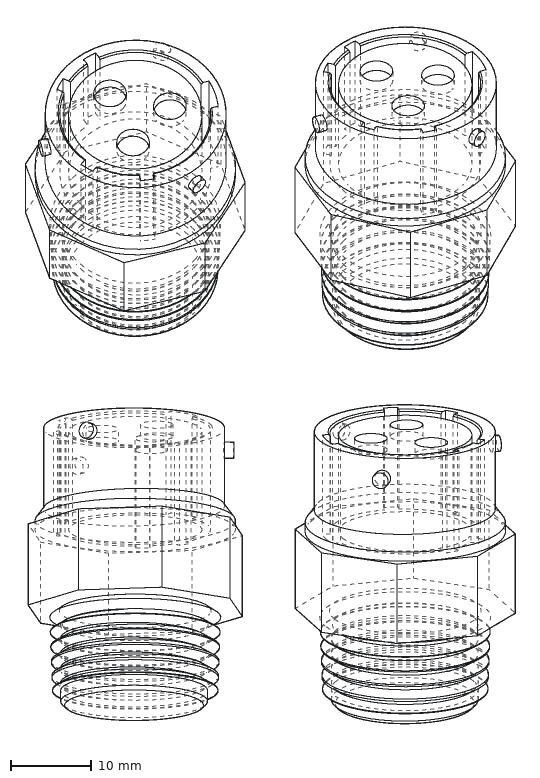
import cadquery as cq
import math

total_height = 35.4
thread_end_z = 1.87
nut_bottom_z = 12.08
nut_top_z = 22.43
collar_edge_z = 23.62
insert_recess = 0.4
insert_face_z = total_height - insert_recess

nut_across_flats = 25.4
nut_sides = 8
collar_radius = 12.48
cone_rise_per_radius = 1.36
cone_height = 3.0

shell_offset_x = 0.18
shell_radius = 11.27
disc_radius = 9.15
disc_chamfer = 0.5

ridge_count = 6
ridge_pitch = 1.9
first_crest_drop = 0.82
first_crest_radius = 10.65
crest_taper = 0.035
thread_root_radius = 9.06
thread_top_radius = 9.45

insert_radius = 8.3
bore_radius = 9.38
bore_chamfer = 0.22
groove_floor_z = nut_top_z

keyway_radius = 10.37
main_key_width = 4.0
small_key_width = 1.8
main_key_angle = 90
small_key_angles = (-8, -52.3, 196.7, 228.2)
keyways = [(main_key_angle, main_key_width)]
keyways += [(angle, small_key_width) for angle in small_key_angles]

contact_radius = 2.03
contact_depth = 1.5
contact_centres = [(0, 4.5), (-4.0, -2.08), (4.0, -1.49)]

pin_radius = 1.02
pin_tip_radius = 12.28
pin_root_radius = 10.6
pin_drop = 2.67
pin_z = total_height - pin_drop
pin_angles = (-90, 23.8, 147)


def cylinder(radius, bottom_z, top_z, centre_x=0):
    disc = cq.Workplane("XY", origin=(centre_x, 0, bottom_z)).circle(radius)
    return disc.extrude(top_z - bottom_z)


def make_nut():
    corner_diameter = nut_across_flats / math.cos(math.pi / nut_sides)
    nut = cq.Workplane("XY").workplane(offset=nut_bottom_z).polygon(nut_sides, corner_diameter)
    nut = nut.extrude(nut_top_z - nut_bottom_z)
    return nut.rotate((0, 0, 0), (0, 0, 1), 180 / nut_sides)


def make_collar():
    cone_top_radius = collar_radius - cone_height / cone_rise_per_radius
    profile = cq.Workplane("XZ").polyline([
        (0, nut_top_z),
        (collar_radius, nut_top_z),
        (collar_radius, collar_edge_z),
        (cone_top_radius, collar_edge_z + cone_height),
        (0, collar_edge_z + cone_height),
    ]).close()
    return profile.revolve(360, (0, 0, 0), (0, 1, 0))


def make_thread():
    flank_rise_per_radius = ridge_pitch / 2 / (first_crest_radius - thread_root_radius)
    points = [(0, nut_bottom_z), (thread_top_radius, nut_bottom_z)]
    for index in range(ridge_count):
        drop = index * ridge_pitch
        crest_z = nut_bottom_z - first_crest_drop - drop
        crest_radius = first_crest_radius - crest_taper * drop
        crest_half_width = (first_crest_radius - crest_radius) * flank_rise_per_radius
        points.append((crest_radius, crest_z + crest_half_width))
        if index == ridge_count - 1:
            points.append((crest_radius, thread_end_z))
        else:
            if index > 0:
                points.append((crest_radius, crest_z - crest_half_width))
            points.append((thread_root_radius, crest_z - ridge_pitch / 2))
    points.append((0, thread_end_z))
    profile = cq.Workplane("XZ").polyline(points).close()
    return profile.revolve(360, (0, 0, 0), (0, 1, 0))


def make_rear_disc():
    disc = cylinder(disc_radius, 0, nut_bottom_z - ridge_pitch, shell_offset_x)
    return disc.faces("<Z").chamfer(disc_chamfer)


def make_pin(angle):
    pin = cq.Workplane("YZ", origin=(pin_root_radius, 0, pin_z)).circle(pin_radius)
    pin = pin.extrude(pin_tip_radius - pin_root_radius)
    return pin.rotate((0, 0, 0), (0, 0, 1), angle)


def make_keyway(angle, width):
    slot = cq.Workplane("XY").workplane(offset=groove_floor_z)
    slot = slot.center(keyway_radius / 2, 0).rect(keyway_radius, width)
    slot = slot.extrude(total_height - groove_floor_z)
    slot = slot.rotate((0, 0, 0), (0, 0, 1), angle)
    return slot.intersect(cylinder(keyway_radius, groove_floor_z, total_height))


def make_mating_cavity():
    rim_radius = bore_radius + bore_chamfer
    cavity = cq.Workplane("XZ").polyline([
        (0, groove_floor_z),
        (bore_radius, groove_floor_z),
        (bore_radius, total_height - bore_chamfer),
        (rim_radius, total_height),
        (0, total_height),
    ]).close().revolve(360, (0, 0, 0), (0, 1, 0))
    for angle, width in keyways:
        cavity = cavity.union(make_keyway(angle, width))
    insert = cylinder(insert_radius, groove_floor_z, insert_face_z)
    contacts = cq.Workplane("XY").workplane(offset=insert_face_z - contact_depth)
    contacts = contacts.pushPoints(contact_centres).circle(contact_radius).extrude(contact_depth)
    return cavity.cut(insert).union(contacts)


body = make_nut().union(make_collar()).union(make_thread()).union(make_rear_disc())
body = body.union(cylinder(shell_radius, nut_top_z, total_height, shell_offset_x))
for pin_angle in pin_angles:
    body = body.union(make_pin(pin_angle))
result = body.cut(make_mating_cavity())